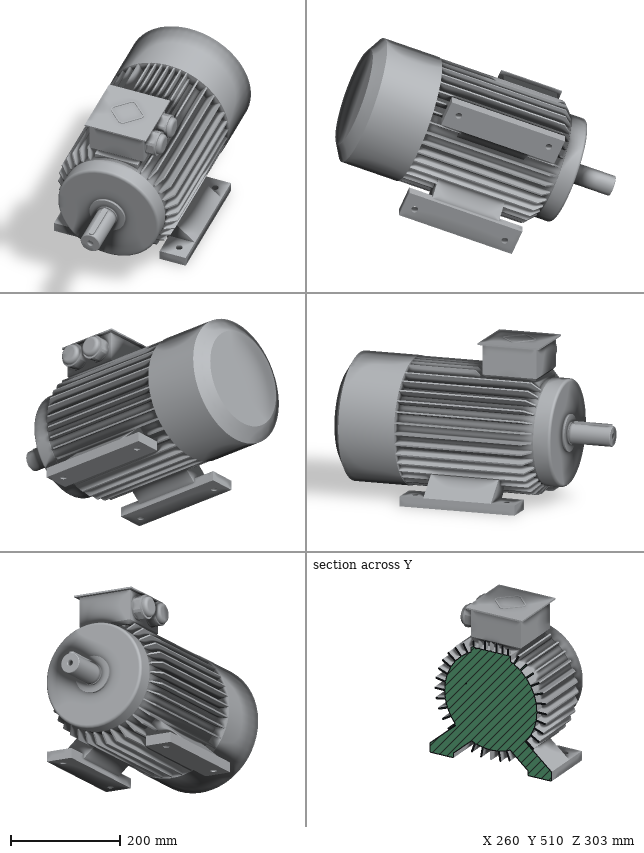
import cadquery as cq
import math


length = 510.0
shaft_shoulder_y = 80.0
boss_front_y = 83.0
flange_front_y = 87.5
flange_back_y = 120.5
fin_front_y = 123.0
cowl_front_y = 384.0
cowl_taper_y = 492.5

shaft_diameter = 38.0
shaft_tip_chamfer = 1.0
shoulder_diameter = 42.0
boss_diameter = 70.0
flange_diameter = 200.0
flange_round = 5.0
body_diameter = 197.0
cowl_diameter = 240.0
cowl_end_diameter = 184.5
center_hole_diameter = 10.0
center_hole_mouth_diameter = 12.0
center_hole_depth = 15.5

key_width = 10.0
key_top_z = 22.0
key_front_y = 1.5
key_back_y = 77.5

fin_radius = 119.0
fin_thickness = 3.0
fin_chamfer = 16.0
fin_step_angle = 10
last_fin_angle = 60
fin_overlap = 5.0

pad_half_width = 42.5
pad_top_z = 100.0
pad_front_y = 128.5
neck_inset = 10.0
top_fin_pitch = 12.0
top_fins_per_side = 3
top_fin_front_y = 246.0
top_fin_chamfer = 9.0

box_width = 106.5
box_length = 105.0
box_center_y = 183.0
box_bottom_z = 103.5
box_chamfer = 6.0
lid_side = 120.5
lid_thickness = 3.0
lid_top_z = 169.5
rim_side = 50.5
rim_corner_radius = 9.0
rim_height = 1.5
rim_width = 2.5

gland_z = 137.5
gland_pitch = 49.5
gland_nut_diameter = 45.5
gland_across_flats = 42.0
gland_flats_gap = 2.0
gland_flats_length = 15.0
gland_nut_length = 20.5
gland_cap_diameter = 38.0
gland_cap_length = 9.0
gland_cap_round = 6.0

foot_bottom_z = -132.0
foot_height = 19.0
foot_outer_x = 130.0
foot_width = 51.5
foot_length = 223.5
foot_center_y = 257.5
leg_length = 131.5
leg_angle = 40.8
leg_inner_drop = 8.5
foot_hole_diameter = 12.0
foot_hole_x = 108.0
foot_hole_pitch = 178.0


def block(x_range, y_range, z_range):
    """Box spanning the given (low, high) ranges."""
    sizes = [high - low for low, high in (x_range, y_range, z_range)]
    lows = (x_range[0], y_range[0], z_range[0])
    return cq.Workplane("XY").box(*sizes, centered=False).translate(lows)


def turned_body():
    """Shaft, shoulder, boss, flange, body and fan cowl as one turned profile."""
    shaft_r = shaft_diameter / 2
    shoulder_r = shoulder_diameter / 2
    boss_r = boss_diameter / 2
    flange_r = flange_diameter / 2
    body_r = body_diameter / 2
    cowl_r = cowl_diameter / 2
    round_offset = flange_round * (1 - math.sqrt(0.5))
    return (
        cq.Workplane("XY")
        .lineTo(shaft_r - shaft_tip_chamfer, 0)
        .lineTo(shaft_r, shaft_tip_chamfer)
        .lineTo(shaft_r, shaft_shoulder_y)
        .lineTo(shoulder_r, shaft_shoulder_y)
        .lineTo(shoulder_r, boss_front_y)
        .lineTo(boss_r, boss_front_y)
        .lineTo(boss_r, flange_front_y)
        .lineTo(flange_r - flange_round, flange_front_y)
        .threePointArc(
            (flange_r - round_offset, flange_front_y + round_offset),
            (flange_r, flange_front_y + flange_round),
        )
        .lineTo(flange_r, flange_back_y)
        .lineTo(body_r, flange_back_y)
        .lineTo(body_r, cowl_front_y)
        .lineTo(cowl_r, cowl_front_y)
        .lineTo(cowl_r, cowl_taper_y)
        .lineTo(cowl_end_diameter / 2, length)
        .lineTo(0, length)
        .close()
        .revolve(360, (0, 0, 0), (0, 1, 0))
    )


def center_hole():
    """Drilled centre hole in the shaft tip, with a countersunk mouth and a conical end."""
    hole_r = center_hole_diameter / 2
    mouth_r = center_hole_mouth_diameter / 2
    return (
        cq.Workplane("XY")
        .lineTo(mouth_r, 0)
        .lineTo(hole_r, mouth_r - hole_r)
        .lineTo(hole_r, center_hole_depth)
        .lineTo(0, center_hole_depth + hole_r)
        .close()
        .revolve(360, (0, 0, 0), (0, 1, 0))
    )


def shaft_key():
    """Round-ended key standing in the top of the shaft."""
    key_length = key_back_y - key_front_y
    return (
        cq.Workplane("XY")
        .center(0, (key_front_y + key_back_y) / 2)
        .slot2D(key_length, key_width, 90)
        .extrude(key_top_z)
    )


def fin(front_y, chamfer, inner_z):
    """Upright fin in the YZ plane with its upper front corner cut at 45 degrees."""
    return (
        cq.Workplane("YZ")
        .moveTo(front_y, inner_z)
        .lineTo(front_y, fin_radius - chamfer)
        .lineTo(front_y + chamfer, fin_radius)
        .lineTo(cowl_front_y, fin_radius)
        .lineTo(cowl_front_y, inner_z)
        .close()
        .extrude(fin_thickness / 2, both=True)
    )


def radial_fins():
    """Fins all around the body except over the top pad."""
    upright = fin(fin_front_y, fin_chamfer, body_diameter / 2 - fin_overlap)
    first_turn = 90 - last_fin_angle
    fins = []
    for turn in range(first_turn, 360 - first_turn + 1, fin_step_angle):
        fins.append(upright.rotate((0, 0, 0), (0, 1, 0), turn).val())
    return fins


def top_pad():
    """Flat-topped pad along the body and the low neck that joins the terminal box to it."""
    x_range = (-pad_half_width, pad_half_width)
    neck_half_length = box_length / 2 - neck_inset
    neck_y_range = (box_center_y - neck_half_length, box_center_y + neck_half_length)
    pad = block(x_range, (pad_front_y, cowl_front_y), (0, pad_top_z))
    neck = block(x_range, neck_y_range, (0, box_bottom_z))
    return pad.union(neck)


def top_fins():
    """Parallel upright fins behind the terminal box, with tops on the fin circle."""
    fins = []
    for index in range(-top_fins_per_side, top_fins_per_side + 1):
        x = index * top_fin_pitch
        drop = fin_radius - math.sqrt(fin_radius**2 - x**2)
        upright = fin(top_fin_front_y, top_fin_chamfer, pad_top_z - fin_overlap + drop)
        fins.append(upright.translate((x, 0, -drop)).val())
    return fins


def terminal_box():
    """Box with a chamfered bottom edge, an overhanging lid and a raised square rim on top."""
    lid_bottom_z = lid_top_z - lid_thickness
    plane = cq.Workplane("XY").center(0, box_center_y)
    case = (
        plane.workplane(offset=box_bottom_z)
        .rect(box_width, box_length)
        .extrude(lid_bottom_z - box_bottom_z)
        .faces("<Z")
        .chamfer(box_chamfer)
    )
    lid = plane.workplane(offset=lid_bottom_z).rect(lid_side, lid_side).extrude(lid_thickness)
    rim = (
        cq.Workplane("XY")
        .rect(rim_side, rim_side)
        .extrude(rim_height)
        .edges("|Z")
        .fillet(rim_corner_radius)
        .faces("|Z")
        .shell(-rim_width)
        .rotate((0, 0, 0), (0, 0, 1), 45)
        .translate((0, box_center_y, lid_top_z))
    )
    return case.union(lid).union(rim)


def cable_gland(y):
    """Gland on the +X side of the box: a round nut with six flats and a rounded cap."""
    plane = cq.Workplane("YZ", origin=(box_width / 2, y, gland_z))
    nut = plane.circle(gland_nut_diameter / 2).extrude(gland_nut_length)
    corner_diameter = gland_across_flats / math.cos(math.pi / 6)
    flats = (
        plane.workplane(offset=gland_flats_gap)
        .circle(gland_nut_diameter)
        .extrude(gland_flats_length)
        .cut(
            plane.transformed(rotate=(0, 0, 30))
            .polygon(6, corner_diameter)
            .extrude(gland_nut_length)
        )
    )
    cap = (
        plane.circle(gland_cap_diameter / 2)
        .extrude(gland_nut_length + gland_cap_length)
        .faces(">X")
        .edges()
        .fillet(gland_cap_round)
    )
    return nut.cut(flats).union(cap)


def foot():
    """Foot on the +X side: a drilled bar and a sloping leg that runs into the body."""
    foot_top_z = foot_bottom_z + foot_height
    foot_inner_x = foot_outer_x - foot_width
    bar = block(
        (foot_inner_x, foot_outer_x),
        (foot_center_y - foot_length / 2, foot_center_y + foot_length / 2),
        (foot_bottom_z, foot_top_z),
    )
    holes = (
        cq.Workplane("XY", origin=(foot_hole_x, foot_center_y, foot_bottom_z))
        .rarray(5, foot_hole_pitch, 1, 2)
        .circle(foot_hole_diameter / 2)
        .extrude(foot_height)
    )
    inner_z = foot_top_z - leg_inner_drop
    rise = math.tan(math.radians(leg_angle))
    run = foot_inner_x
    leg = (
        cq.Workplane("XZ", origin=(0, foot_center_y, 0))
        .moveTo(foot_inner_x, inner_z)
        .lineTo(foot_outer_x, foot_top_z)
        .line(-run, run * rise)
        .lineTo(foot_inner_x - run, inner_z + run * rise)
        .close()
        .extrude(leg_length / 2, both=True)
    )
    return bar.union(leg).cut(holes)


result = turned_body()
for fin_set in (radial_fins(), top_fins()):
    result = result.union(cq.Workplane(obj=cq.Compound.makeCompound(fin_set)))
result = result.union(top_pad()).union(terminal_box()).union(shaft_key())
for side in (-1, 1):
    result = result.union(cable_gland(box_center_y + side * gland_pitch / 2))
right_foot = foot()
result = result.union(right_foot).union(right_foot.mirror("YZ"))
result = result.cut(center_hole())